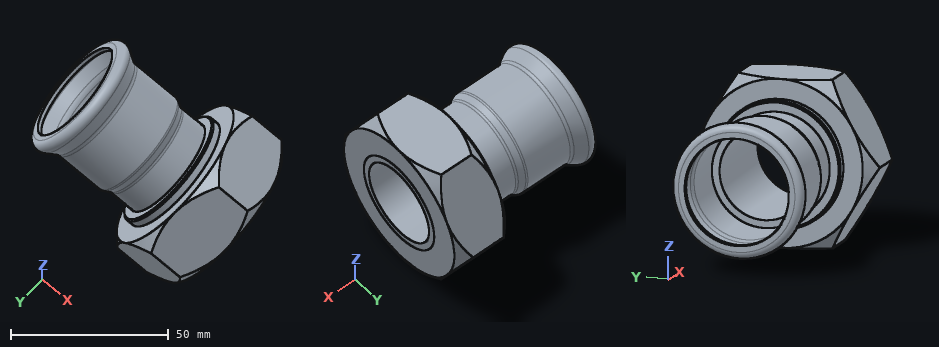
import cadquery as cq
import math

overall_length = 64.0

wall = 1.55
socket_outer_radius = 38.0 / 2
socket_bore_radius = socket_outer_radius - wall
neck_radius = 35.0 / 2
neck_bore_radius = 14.9
bead_radius = 2.55
bead_center_radius = 19.5
bead_angle = math.radians(30)
bead_fillet = 2.55
shoulder_start = 26.7
shoulder_angle = math.radians(27)
shoulder_fillet = 1.55
neck_fillet = 2.05

across_flats = 55.0
across_corners = across_flats / math.cos(math.radians(30))
hex_start = 43.1
collar_start = 39.95
collar_radius = 42.0 / 2
collar_chamfer = 0.5
corner_bevel = (across_corners - across_flats) / 2


def arc_point(center, radius, angle):
    """Point on a circle, with the angle measured from +radial towards +X."""
    return (center[0] + radius * math.sin(angle), center[1] + radius * math.cos(angle))


def revolve_about_x(profile):
    return profile.close().revolve(360, (0, 0, 0), (1, 0, 0))


def make_sleeve():
    """Tube with a rolled bead at its mouth and a shoulder down to a narrower neck."""
    bead_center = (bead_radius, bead_center_radius)
    blend_center_radius = socket_outer_radius + bead_fillet
    radial_gap = blend_center_radius - bead_center_radius
    blend_x = bead_radius + (
        bead_radius + bead_fillet - radial_gap * math.cos(bead_angle)
    ) / math.sin(bead_angle)
    blend_center = (blend_x, blend_center_radius)
    inner_bead_radius = bead_radius - wall
    inner_blend_radius = bead_fillet + wall

    blend_angle = bead_angle + math.pi
    blend_middle = bead_angle / 2 + math.pi
    bead_middle = (bead_angle - math.pi / 2) / 2

    blend_drop = (shoulder_fillet + neck_fillet) * (1 - math.cos(shoulder_angle))
    cone_drop = socket_outer_radius - neck_radius - blend_drop
    cone_run = cone_drop / math.tan(shoulder_angle)
    shoulder_end = (
        shoulder_start + cone_run + (shoulder_fillet + neck_fillet) * math.sin(shoulder_angle)
    )
    shoulder_center = (shoulder_start, socket_outer_radius - shoulder_fillet)
    neck_center = (shoulder_end, neck_radius + neck_fillet)
    neck_blend_angle = shoulder_angle + math.pi
    neck_blend_middle = shoulder_angle / 2 + math.pi

    profile = (
        cq.Workplane("XY")
        .moveTo(0, socket_bore_radius)
        .lineTo(0, bead_center_radius)
        .threePointArc(
            arc_point(bead_center, bead_radius, bead_middle),
            arc_point(bead_center, bead_radius, bead_angle),
        )
        .lineTo(*arc_point(blend_center, bead_fillet, blend_angle))
        .threePointArc(
            arc_point(blend_center, bead_fillet, blend_middle),
            (blend_x, socket_outer_radius),
        )
        .lineTo(shoulder_start, socket_outer_radius)
        .threePointArc(
            arc_point(shoulder_center, shoulder_fillet, shoulder_angle / 2),
            arc_point(shoulder_center, shoulder_fillet, shoulder_angle),
        )
        .lineTo(*arc_point(neck_center, neck_fillet, neck_blend_angle))
        .threePointArc(
            arc_point(neck_center, neck_fillet, neck_blend_middle),
            (shoulder_end, neck_radius),
        )
        .lineTo(overall_length, neck_radius)
        .lineTo(overall_length, neck_bore_radius)
        .lineTo(shoulder_start, neck_bore_radius)
        .lineTo(shoulder_start, socket_bore_radius)
        .lineTo(blend_x, socket_bore_radius)
        .threePointArc(
            arc_point(blend_center, inner_blend_radius, blend_middle),
            arc_point(blend_center, inner_blend_radius, blend_angle),
        )
        .lineTo(*arc_point(bead_center, inner_bead_radius, bead_angle))
        .threePointArc(
            arc_point(bead_center, inner_bead_radius, bead_middle),
            (wall, bead_center_radius),
        )
        .lineTo(wall, socket_bore_radius)
    )
    return revolve_about_x(profile)


def make_nut():
    """Hexagon nut with beveled corners and a round collar, bored to fit the neck."""
    hex_length = overall_length - hex_start
    hexagon = (
        cq.Workplane("YZ", origin=(hex_start, 0, 0))
        .polygon(6, across_corners)
        .extrude(hex_length)
    )
    bevel_envelope = (
        cq.Workplane("YZ", origin=(hex_start, 0, 0))
        .circle(across_flats / 2 + corner_bevel)
        .extrude(hex_length)
        .edges()
        .chamfer(corner_bevel)
    )
    collar = (
        cq.Workplane("YZ", origin=(collar_start, 0, 0))
        .circle(collar_radius)
        .extrude(hex_start - collar_start)
        .faces("<X")
        .chamfer(collar_chamfer)
    )
    bore = (
        cq.Workplane("YZ", origin=(collar_start, 0, 0))
        .circle(neck_radius)
        .extrude(overall_length - collar_start)
    )
    return hexagon.intersect(bevel_envelope).union(collar).cut(bore)


sleeve = make_sleeve()
nut = make_nut()

result = cq.Compound.makeCompound([sleeve.val(), *nut.solids().vals()])